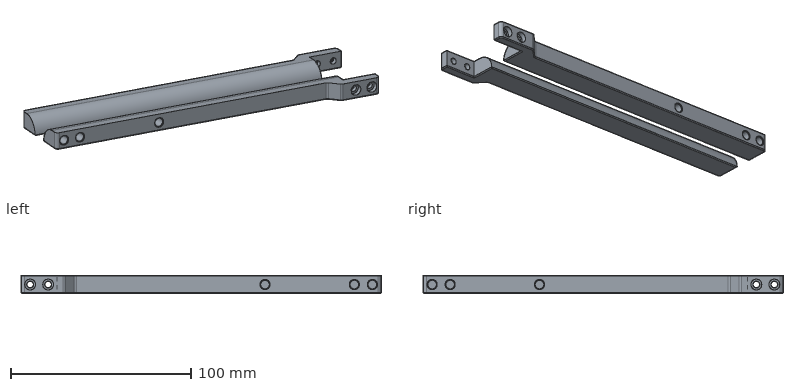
import cadquery as cq

length = 200.0
width = 52.0
height = 10.0

inner_gap = 10.0
round_radius = height
arm_thickness = 6.0
arm_length = 20.0

step_start = 24.0
corner_radius = 2.0
bottom_chamfer = 0.5

hole_pitch = 10.0
end_hole_distance = 5.0
screw_diameter = 3.5
screw_head_diameter = 6.0
screw_head_depth = 3.0
blind_diameter = 4.8
blind_mouth_diameter = 5.5
blind_depth = 8.0
mouth_taper = 45
middle_hole_distance = 64.5

back = length / 2
front = -length / 2
arm_outer_x = width / 2
rail_outer_x = arm_outer_x - arm_thickness
rail_inner_x = inner_gap / 2
step_outer_y = back - step_start
step_inner_y = step_outer_y - arm_thickness
shoulder_y = back - arm_length
mid_height = height / 2


def rail_blank():
    """Plan outline of the +X rail with its arm, with rounded outer corners."""
    outline = [
        (rail_inner_x, front),
        (rail_outer_x, front),
        (rail_outer_x, step_inner_y),
        (arm_outer_x, step_outer_y),
        (arm_outer_x, back),
        (rail_outer_x, back),
        (rail_outer_x, shoulder_y),
        (rail_inner_x, shoulder_y),
    ]
    blank = cq.Workplane("XY").polyline(outline).close().extrude(height)
    rounded_corners = outline[1:5]
    for x, y in rounded_corners:
        edge = cq.selectors.NearestToPointSelector((x, y, mid_height))
        blank = blank.edges("|Z").edges(edge).fillet(corner_radius)
    return blank


def inner_round_waste():
    """Material outside the quarter-round along the inner side of the rail."""
    square = cq.Workplane("XY").box(round_radius, length, height, centered=(False, True, False))
    square = square.translate((rail_inner_x, 0, 0))
    cylinder = (
        cq.Workplane("XZ", origin=(rail_inner_x + round_radius, back, 0))
        .circle(round_radius)
        .extrude(length)
    )
    return square.cut(cylinder)


def side_bore(outer_x, y, diameter, depth, taper=0):
    """Round bore running inward along X from an outer side face, narrowing by the taper angle."""
    plane = cq.Plane(origin=(outer_x, y, mid_height), xDir=(0, 1, 0), normal=(-1, 0, 0))
    return cq.Workplane(plane).circle(diameter / 2).extrude(depth, taper=taper)


def screw_hole(y):
    """Counterbored through hole in the arm."""
    shank = side_bore(arm_outer_x, y, screw_diameter, arm_thickness)
    head = side_bore(arm_outer_x, y, screw_head_diameter, screw_head_depth)
    return shank.union(head)


def blind_hole(y):
    """Blind hole in the rail with a 45 degree countersunk mouth."""
    bore = side_bore(rail_outer_x, y, blind_diameter, blind_depth)
    mouth_depth = (blind_mouth_diameter - blind_diameter) / 2
    mouth = side_bore(rail_outer_x, y, blind_mouth_diameter, mouth_depth, mouth_taper)
    return bore.union(mouth)


def make_rail():
    """Complete +X rail, with its underside edges chamfered and its holes cut."""
    rail = rail_blank().cut(inner_round_waste())
    rail = rail.faces("<Z").edges().chamfer(bottom_chamfer)
    for distance in (end_hole_distance, end_hole_distance + hole_pitch):
        rail = rail.cut(screw_hole(back - distance))
    for distance in (end_hole_distance, end_hole_distance + hole_pitch, middle_hole_distance):
        rail = rail.cut(blind_hole(front + distance))
    return rail


right_rail = make_rail()
left_rail = right_rail.mirror("YZ")

result = cq.Compound.makeCompound([right_rail.val(), left_rail.val()])